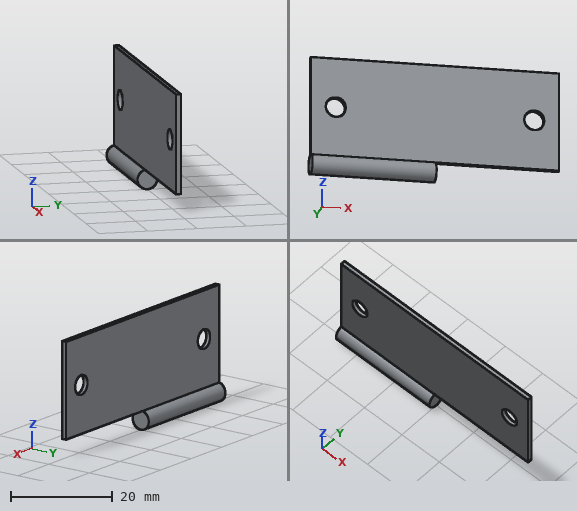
import cadquery as cq
import math

plate_length = 50
plate_thickness = 1
overall_height = 24
knuckle_diameter = 4
knuckle_length = plate_length / 2
hole_diameter = 4
hole_end_distance = 5
hole_top_distance = 10

knuckle_radius = knuckle_diameter / 2
plate_top = overall_height - knuckle_radius
plate_bottom = math.sqrt(knuckle_radius**2 - (plate_thickness / 2) ** 2)


def make_plate():
    """Upright plate, centred on the knuckle axis in Y."""
    return (
        cq.Workplane("XY")
        .workplane(offset=plate_bottom)
        .center(plate_length / 2, 0)
        .rect(plate_length, plate_thickness)
        .extrude(plate_top - plate_bottom)
    )


def make_knuckle():
    """Solid cylinder along X."""
    return cq.Workplane("YZ").circle(knuckle_radius).extrude(knuckle_length)


def make_holes():
    """Two cutters through the plate thickness, one near each end."""
    hole_z = plate_top - hole_top_distance
    hole_centers = [(x, hole_z) for x in (hole_end_distance, plate_length - hole_end_distance)]
    return (
        cq.Workplane("XZ", origin=(0, plate_thickness / 2, 0))
        .pushPoints(hole_centers)
        .circle(hole_diameter / 2)
        .extrude(plate_thickness)
    )


result = make_plate().union(make_knuckle()).cut(make_holes())